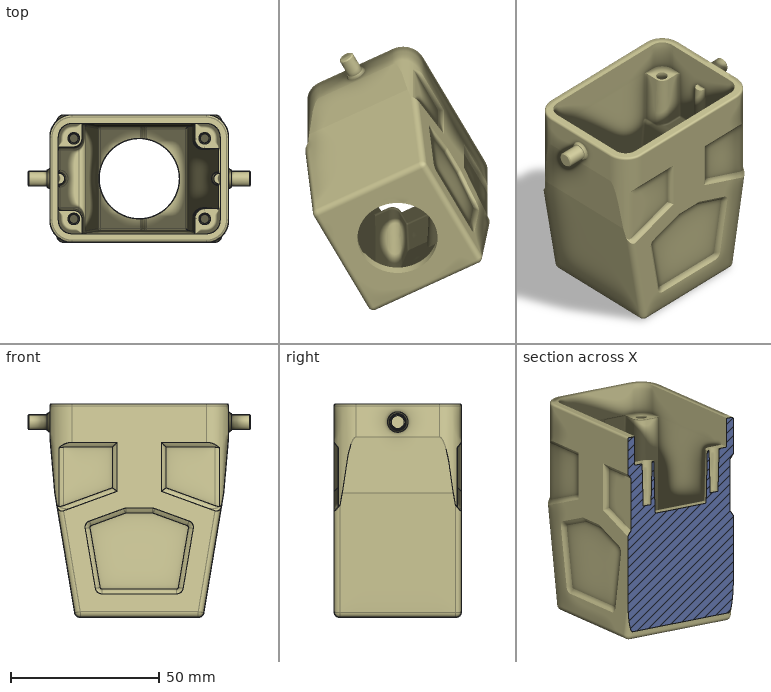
import cadquery as cq
import math

overall_length = 75.0
height = 72.0
depth = 43.0
half_depth = depth / 2
rim_half_width = 30.15
taper_start_z = 60.8
bend_z = 42.0
bend_half_width = 28.5
base_half_width = 21.5
rim_corner_radius = 7.5
lower_edge_radius = 1.95
rim_edge_radius = 0.75

recess_depth = 1.3
recess_wall_run = 1.65
recess_wall_slope = recess_wall_run / recess_depth
shoulder_slope = math.tan(math.radians(20))
grip_inner_x = 7.4
grip_floor_flat_x = 25.5
grip_top_z = 59.0
grip_inner_z = 42.5
panel_top_half_width = 4.9
panel_top_z = 36.8
panel_half_width = 18.5
panel_bottom_half_width = 14.5
panel_bottom_z = 7.95
panel_corner_radius = 2.25

mouth_half_width = 27.3
mouth_half_depth = 18.6
mouth_corner_radius = 4.65
boss_top_z = 61.9
ledge_z = 43.5
ledge_edge_x = -18.3
ledge_edge_radius = 2.25
inner_edge_radius = 0.6
floor_edge_radius = 0.75
floor_left_z = 2.25
floor_right_z = 3.75
floor_step_start_x = 0.7
floor_step_end_x = 2.2
floor_left_x = -13.7
floor_right_x = 16.2
floor_half_depth = 17.5
boss_face_x = 19.35
boss_face_y = 10.7
boss_draft = 1.5
cable_hole_radius = 13.5

screw_x = 22.05
screw_y = 13.6
screw_mouth_radius = 1.95
screw_bottom_radius = 1.5
screw_hole_depth = 15.0
boss_edge_radius = screw_x - boss_face_x
post_x = 26.9
post_top_radius = 1.8
post_base_radius = 2.8
pin_z = 65.85
pin_radius = 2.55
pin_chamfer = 0.4
collar_base_radius = 3.45
collar_tip_radius = 2.85
collar_length = 0.9


def mirrored(points):
    """Close an outline with its mirror image about the Z axis."""
    return points + [(-x, z) for x, z in reversed(points)]


def lofted_block(bottom_z, bottom_half, top_z, top_half):
    """Block with flat sloping sides between two rectangles given by half sizes."""
    return (
        cq.Workplane("XY", origin=(0, 0, bottom_z))
        .rect(2 * bottom_half[0], 2 * bottom_half[1])
        .workplane(offset=top_z - bottom_z)
        .rect(2 * top_half[0], 2 * top_half[1])
        .loft(ruled=True, combine=True)
    )


def slab(points, half_thickness):
    """Extrude an XZ outline evenly to both sides of the XZ plane."""
    return cq.Workplane("XZ").polyline(points).close().extrude(half_thickness, both=True)


def make_shell_block():
    """Outer form: rounded at the rim, nearly square below sloping shoulders."""
    wedge_outline = mirrored([
        (base_half_width, 0),
        (bend_half_width, bend_z),
        (rim_half_width, taper_start_z),
        (rim_half_width, height),
    ])
    wedge = slab(wedge_outline, half_depth)
    rounded_rim = (
        cq.Workplane("XY")
        .rect(2 * rim_half_width, depth)
        .extrude(height)
        .edges("|Z")
        .fillet(rim_corner_radius)
    )
    upper = wedge.intersect(rounded_rim).faces(">Z").edges().fillet(rim_edge_radius)

    across_slope = recess_wall_slope / math.cos(math.atan(shoulder_slope))
    apex_z = grip_inner_z + grip_inner_x * shoulder_slope + half_depth * across_slope
    ridge_x = apex_z / shoulder_slope
    ridge_y = apex_z / across_slope
    diamond = [(ridge_x, 0), (0, ridge_y), (-ridge_x, 0), (0, -ridge_y)]
    bend_share = 1 - bend_z / apex_z
    shoulders = (
        cq.Workplane("XY")
        .polyline(diamond)
        .close()
        .workplane(offset=bend_z)
        .polyline([(x * bend_share, y * bend_share) for x, y in diamond])
        .close()
        .loft(ruled=True, combine=True)
    )
    square_lower = slab(
        mirrored([(base_half_width, 0), (bend_half_width, bend_z)]), half_depth
    )
    lower = square_lower.edges("not >Z").fillet(lower_edge_radius).intersect(shoulders)
    return upper.cut(shoulders).union(lower)


def recess(points, cut_depth, corner_radius=0):
    """Cutter with sloping walls, sunk into the -Y face from an XZ outline."""
    face = cq.Workplane("XZ", origin=(0, -half_depth, 0))
    outline = cq.Sketch().polygon(points + points[:1])
    if corner_radius:
        outline = outline.vertices().fillet(corner_radius)
    wall_angle = math.degrees(math.atan(recess_wall_slope))
    return face.placeSketch(outline).extrude(-cut_depth, taper=wall_angle)


def make_face_recesses():
    """Two grip recesses and one panel recess on each broad face."""
    outer_x = overall_length / 2
    outer_z = grip_inner_z - (outer_x - grip_inner_x) * shoulder_slope
    grip = recess([
        (grip_inner_x, grip_inner_z),
        (outer_x, outer_z),
        (outer_x, grip_top_z),
        (grip_inner_x, grip_top_z),
    ], 2 * recess_depth)
    grip_floor = (
        cq.Workplane("XY")
        .rect(2 * (grip_floor_flat_x + rim_corner_radius), depth - 2 * recess_depth)
        .extrude(height)
        .edges("|Z")
        .fillet(rim_corner_radius)
    )
    grip = grip.cut(grip_floor)
    panel_side_top_z = panel_top_z - (panel_half_width - panel_top_half_width) * shoulder_slope
    panel = recess(
        mirrored([
            (panel_bottom_half_width, panel_bottom_z),
            (panel_half_width, panel_side_top_z),
            (panel_top_half_width, panel_top_z),
        ]),
        recess_depth,
        panel_corner_radius,
    )
    front = grip.union(grip.mirror("YZ")).union(panel)
    return front.union(front.mirror("XZ"))


def boss_corners(x, y):
    """Selector for the four upright edges nearest to (+-x, +-y), half way up the bosses."""
    mid_z = (boss_top_z + ledge_z) / 2
    nearest = cq.selectors.NearestToPointSelector
    left = nearest((-x, -y, mid_z)) + nearest((-x, y, mid_z))
    return left + nearest((x, -y, mid_z)) + nearest((x, y, mid_z))


def make_cavity():
    """Hollow of the housing, from the mouth down to the stepped floor."""
    mouth = (
        cq.Workplane("XY", origin=(0, 0, boss_top_z))
        .rect(2 * mouth_half_width, 2 * mouth_half_depth)
        .extrude(height - boss_top_z)
        .edges("|Z")
        .fillet(mouth_corner_radius)
    )

    room = slab([
        (-mouth_half_width, boss_top_z),
        (-mouth_half_width, ledge_z),
        (ledge_edge_x, ledge_z),
        (floor_left_x, floor_left_z),
        (floor_step_start_x, floor_left_z),
        (floor_step_end_x, floor_right_z),
        (floor_right_x, floor_right_z),
        (mouth_half_width, ledge_z),
        (mouth_half_width, boss_top_z),
    ], mouth_half_depth)
    ledge_edge = cq.selectors.NearestToPointSelector((ledge_edge_x, 0, ledge_z))
    room = room.edges(ledge_edge).fillet(ledge_edge_radius)
    room = room.intersect(lofted_block(
        floor_left_z, (mouth_half_width, floor_half_depth),
        boss_top_z, (mouth_half_width, mouth_half_depth),
    ))
    floor_zone = cq.selectors.BoxSelector(
        (-mouth_half_width, -half_depth, 0), (mouth_half_width, half_depth, floor_right_z + 0.75)
    )
    room = room.edges(floor_zone).fillet(floor_edge_radius)
    post = make_post()
    room = room.cut(make_bosses()).cut(post).cut(post.mirror("YZ"))

    ledge_zone = cq.selectors.BoxSelector(
        (-mouth_half_width - 0.75, -boss_face_y, ledge_z - 0.1),
        (-boss_face_x - boss_edge_radius / 2, boss_face_y, ledge_z + 0.1),
    )
    room = room.edges(boss_corners(boss_face_x, mouth_half_depth)).fillet(inner_edge_radius)
    bay_corners = boss_corners(mouth_half_width, boss_face_y)
    room = room.edges(ledge_zone + bay_corners).fillet(inner_edge_radius)
    return mouth.union(room)


def make_bosses():
    """Four drafted corner columns that widen downwards."""
    boss_size_x = rim_half_width - boss_face_x
    boss_size_y = half_depth - boss_face_y
    footprint = (
        cq.Sketch()
        .push([
            (side_x * (boss_face_x + boss_size_x / 2), side_y * (boss_face_y + boss_size_y / 2))
            for side_x in (-1, 1)
            for side_y in (-1, 1)
        ])
        .rect(boss_size_x, boss_size_y)
        .reset()
        .vertices()
        .fillet(boss_edge_radius)
    )
    top = cq.Workplane("XY", origin=(0, 0, boss_top_z))
    return top.placeSketch(footprint).extrude(-boss_top_z, taper=-boss_draft)


def make_screw_holes():
    """Blind, slightly conical holes in the tops of the four bosses."""
    at_screws = (
        cq.Workplane("XY", origin=(0, 0, boss_top_z))
        .rect(2 * screw_x, 2 * screw_y, forConstruction=True)
        .vertices()
    )
    profile = [
        (0, 0),
        (screw_mouth_radius, 0),
        (screw_bottom_radius, -screw_hole_depth),
        (0, -screw_hole_depth),
    ]
    hole = cq.Workplane("XZ").polyline(profile).close().revolve(360, (0, 0), (0, 1)).val()
    return at_screws.eachpoint(lambda place: hole.moved(place), combine="a")


def make_post():
    """Tapered post against the right end wall, standing on the wall below it."""
    post_base_z = floor_right_z + ledge_z / 2
    return (
        cq.Workplane("XY", origin=(post_x, 0, post_base_z))
        .circle(post_base_radius)
        .workplane(offset=boss_top_z - post_base_z)
        .circle(post_top_radius)
        .loft(combine=True)
    )


def make_lever_pin():
    """Pin on the right end wall, with a conical collar at its root."""
    collar_x = rim_half_width + collar_length
    tip_x = overall_length / 2
    root_x = mouth_half_width + 0.75
    profile = [
        (root_x, 0),
        (root_x, collar_base_radius),
        (rim_half_width, collar_base_radius),
        (collar_x, collar_tip_radius),
        (collar_x, pin_radius),
        (tip_x - pin_chamfer, pin_radius),
        (tip_x, pin_radius - pin_chamfer),
        (tip_x, 0),
    ]
    plane = cq.Workplane("XY", origin=(0, 0, pin_z))
    return plane.polyline(profile).close().revolve(360, (0, 0), (1, 0))


cable_hole = cq.Workplane("XY").circle(cable_hole_radius).extrude(boss_top_z)

block = make_shell_block().cut(make_face_recesses())
pin = make_lever_pin()

result = (
    block.cut(make_cavity())
    .cut(cable_hole)
    .cut(make_screw_holes())
    .union(pin)
    .union(pin.mirror("YZ"))
)